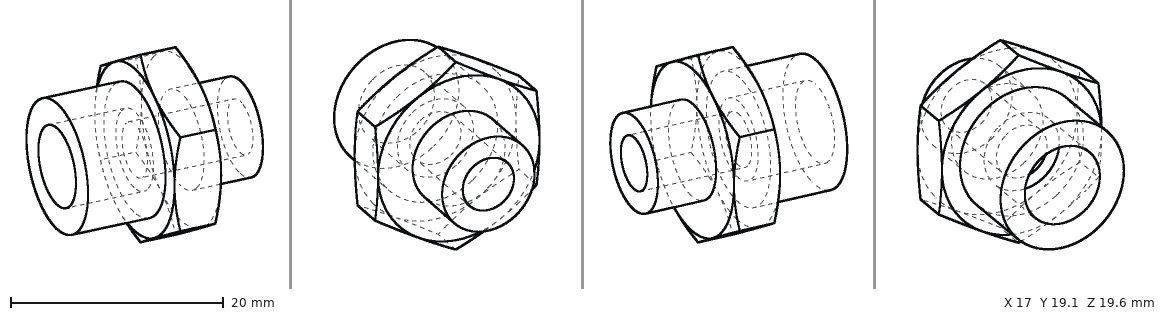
import cadquery as cq
import math

hex_across_corners = 19.63
hex_across_flats = hex_across_corners * math.cos(math.radians(30))
total_length = 19.15
hex_length = 4.89
front_length = 8.1
rear_length = total_length - hex_length - front_length
front_diameter = 13.15
rear_diameter = 9.74

wide_bore_diameter = 8.0
wide_bore_depth = front_length
narrow_bore_diameter = 5.4

corner_drop = 0.6

hex_front = -hex_length / 2
hex_rear = hex_length / 2
front_end = hex_front - front_length
rear_end = hex_rear + rear_length


def cylinder(diameter, y_start, length):
    """Cylinder about the Y axis, growing toward +Y from y_start."""
    plane = cq.Workplane("XZ", origin=(0, y_start, 0))
    return plane.circle(diameter / 2).extrude(-length)


def chamfered_hex():
    """Hexagon with corners on Z, trimmed by a cone at both ends."""
    prism = (
        cq.Workplane("XZ", origin=(0, hex_front, 0))
        .polygon(6, hex_across_corners)
        .extrude(-hex_length)
        .rotate((0, 0, 0), (0, 1, 0), 90)
    )
    flat_radius = hex_across_flats / 2
    corner_radius = hex_across_corners / 2
    envelope = (
        cq.Workplane("XY")
        .moveTo(0, hex_front)
        .lineTo(flat_radius, hex_front)
        .lineTo(corner_radius, hex_front + corner_drop)
        .lineTo(corner_radius, hex_rear - corner_drop)
        .lineTo(flat_radius, hex_rear)
        .lineTo(0, hex_rear)
        .close()
        .revolve(360, (0, 0, 0), (0, 1, 0))
    )
    return prism.intersect(envelope)


body = (
    chamfered_hex()
    .union(cylinder(front_diameter, front_end, front_length))
    .union(cylinder(rear_diameter, hex_rear, rear_length))
)

result = (
    body
    .cut(cylinder(narrow_bore_diameter, front_end, total_length))
    .cut(cylinder(wide_bore_diameter, front_end, wide_bore_depth))
)